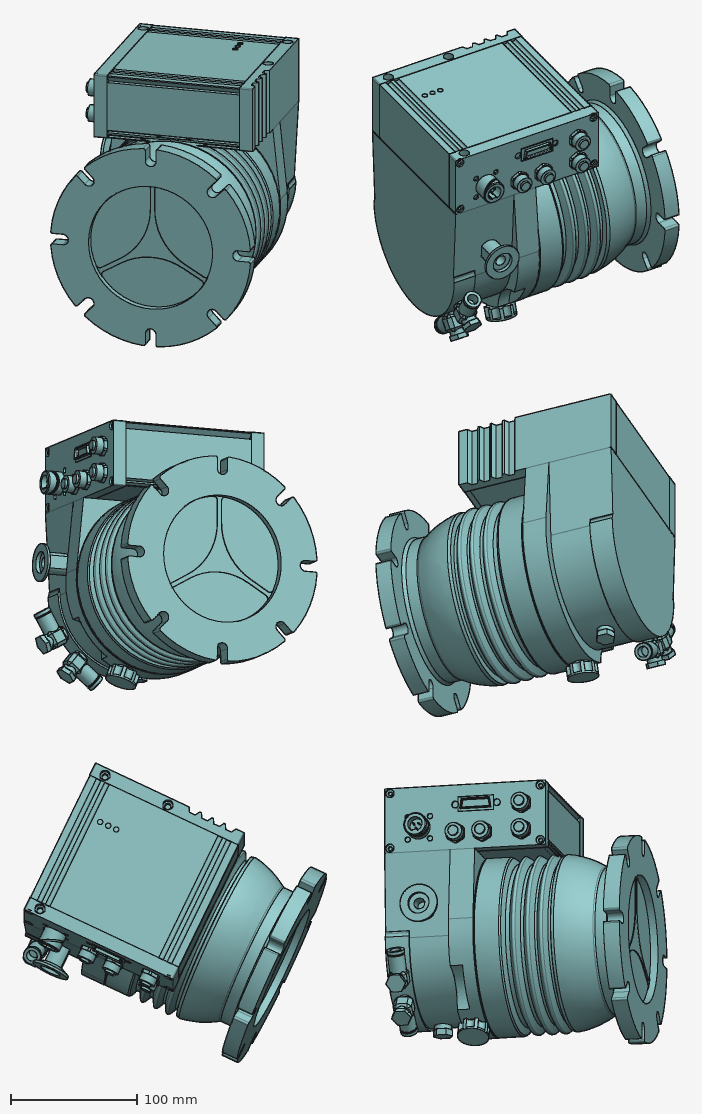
import cadquery as cq
import math

total_length = 195.0
flange_radius = 82.6
flange_thickness = 12.9
neck_radius = 58.6
fin_root_radius = 130.0 / 2
drum_radius = 71.7
collar_radius = 72.0
joint_radius = 71.0
rear_radius = 61.6
lip_radius = 63.3

drum_front = 100.7
drum_back = 120.7
collar_front = 121.7
collar_back = 141.6
lip_front = 175.7
fin_positions = (66.7, 77.5, 89.0)
fin_tip_half_width = 1.5
fin_shoulder_drop = 1.0
fin_tip_drop = 0.2
drum_edge = 1.5
drum_taper = 3.8
fin_root_half_width = 4.5

bell_small_end = (59.2, 26.8)
neck_back = 25.4
bell_bulge = (66.7, 41.5)
bell_large_end = (70.5, 56.5)
bell_back = 59.0
bell_edge_drop = 0.6
bell_back_slope = 0.8
neck_flare = 1.6
neck_flare_length = 3.0

slot_count = 8
slot_width = 8.7
slot_bottom_radius = 67.9
slot_lip_round = 1.6

bore_radius = 51.2
bore_depth = 5.5
pocket_depth = 0.6
spoke_half_width = 1.8
pocket_inner_round = 50.4
pocket_corner_round = 3.2

box_half_width = 65.5
box_bottom = 65.5
box_top = 118.0
box_front = 64.0
box_edge_round = 0.8
end_plate_width = 10.9
panel_inset = 0.5
profile_half_width = box_half_width - end_plate_width

fitting_y = 184.1
fitting_axis_radius = 71.5
fitting_angles = (210.5, 231.5)

power_socket_y = 167.2
power_socket_z = 84.8
data_port_y = 120.7
data_port_z = 102.1
cable_sockets = ((137.0, 78.5), (115.2, 78.5), (83.5, 78.5), (83.5, 100.1))


def radial_plane(angle, radius, y):
    """Plane facing away from the Y axis; local x is +Y, local y runs round the body."""
    direction = (math.cos(math.radians(angle)), 0, math.sin(math.radians(angle)))
    origin = (radius * direction[0], y, radius * direction[2])
    return cq.Workplane(cq.Plane(origin, (0, 1, 0), direction))


def wall(y, z, x=-box_half_width):
    """Plane facing -X; local x is -Y and local y is +Z."""
    return cq.Workplane(cq.Plane((x, y, z), (0, -1, 0), (-1, 0, 0)))


def cross_section(y):
    """Plane facing +Y; local x is -X and local y is +Z."""
    return cq.Workplane(cq.Plane((0, y, 0), (-1, 0, 0), (0, 1, 0)))


def hex_corners(across_flats):
    """Diameter across the corners of a hexagon of the given size across flats."""
    return across_flats / math.cos(math.radians(30))


def disc(radius, y_start, y_end):
    return cross_section(y_start).circle(radius).extrude(y_end - y_start)


def make_turned_body():
    """Flange, neck, bell, cooling fins and drum, turned about the Y axis."""
    profile = (
        cq.Workplane("XY")
        .moveTo(0, 0)
        .lineTo(flange_radius, 0)
        .lineTo(flange_radius, flange_thickness)
        .lineTo(neck_radius + neck_flare, flange_thickness)
        .lineTo(neck_radius, flange_thickness + neck_flare_length)
        .lineTo(neck_radius, neck_back)
        .lineTo(*bell_small_end)
        .threePointArc(bell_bulge, bell_large_end)
        .lineTo(bell_large_end[0] - bell_edge_drop, bell_back)
        .lineTo(fin_root_radius, bell_back + bell_back_slope)
    )
    fin_shoulder = drum_radius - fin_shoulder_drop
    fin_tip = drum_radius - fin_tip_drop
    for y in fin_positions:
        profile = (
            profile.lineTo(fin_root_radius, y - fin_root_half_width)
            .lineTo(fin_shoulder, y - fin_tip_half_width)
            .threePointArc((fin_tip, y), (fin_shoulder, y + fin_tip_half_width))
            .lineTo(fin_root_radius, y + fin_root_half_width)
        )
    return (
        profile.lineTo(fin_root_radius, drum_front - drum_taper)
        .lineTo(fin_shoulder, drum_front - drum_edge)
        .lineTo(drum_radius, drum_front)
        .lineTo(drum_radius, drum_back)
        .lineTo(joint_radius, drum_back)
        .lineTo(joint_radius, collar_front)
        .lineTo(0, collar_front)
        .close()
        .revolve(360, (0, 0), (0, 1))
    )


def make_saddle(radius, y_start, y_end):
    """Cylinder blended by tangent flats into the lower corners of the box."""
    corner_distance = math.hypot(box_half_width, box_bottom)
    tangent_angle = math.atan2(box_bottom, box_half_width) - math.acos(radius / corner_distance)
    tangent_x = radius * math.cos(tangent_angle)
    tangent_z = radius * math.sin(tangent_angle)
    return (
        cross_section(y_start)
        .moveTo(-box_half_width, box_bottom)
        .lineTo(-tangent_x, tangent_z)
        .threePointArc((0, -radius), (tangent_x, tangent_z))
        .lineTo(box_half_width, box_bottom)
        .close()
        .extrude(y_end - y_start)
    )


def make_rear_lip():
    """Thicker lower half of the rear end; its upper ends slope outwards and down."""
    shoulder_z = 2.0
    shoulder_x = rear_radius + 0.8
    slope_start = (shoulder_x, 0.5)
    slope_end = (lip_radius, -2.6)
    reach = lip_radius + 2
    lower_half = (
        cross_section(lip_front)
        .moveTo(0, shoulder_z)
        .lineTo(shoulder_x, shoulder_z)
        .lineTo(*slope_start)
        .lineTo(*slope_end)
        .lineTo(reach, slope_end[1])
        .lineTo(reach, -reach)
        .lineTo(0, -reach)
        .close()
        .extrude(total_length - lip_front)
    )
    lower_half = lower_half.union(lower_half.mirror("YZ"))
    return disc(lip_radius, lip_front, total_length).intersect(lower_half)


def make_collar_scoop():
    """Concave cut in the rear half of the collar's lower -X side."""
    scoop_front = 131.5
    scoop_radius = 29.2
    scoop_centre_x = -70.0
    scoop_centre_z = -58.2
    return (
        cross_section(scoop_front)
        .center(-scoop_centre_x, scoop_centre_z)
        .circle(scoop_radius)
        .extrude(collar_back - scoop_front)
    )


def make_flange_slots():
    """Round-bottomed bolt slots open to the flange rim, with rounded mouths."""
    round_centre = slot_bottom_radius + slot_width / 2
    rim = math.sqrt(flange_radius**2 - (slot_width / 2 + slot_lip_round) ** 2)
    mouth = rim - slot_lip_round
    half = slot_width / 2
    lip_mid = slot_lip_round * (1 - math.sqrt(0.5))
    slot = (
        cross_section(0)
        .moveTo(half, round_centre)
        .lineTo(half, mouth)
        .threePointArc((half + lip_mid, rim - lip_mid), (half + slot_lip_round, rim))
        .lineTo(half + slot_lip_round, flange_radius + 2)
        .lineTo(-half - slot_lip_round, flange_radius + 2)
        .lineTo(-half - slot_lip_round, rim)
        .threePointArc((-half - lip_mid, rim - lip_mid), (-half, mouth))
        .lineTo(-half, round_centre)
        .threePointArc((0, slot_bottom_radius), (half, round_centre))
        .close()
        .extrude(flange_thickness)
    )
    slots = slot
    for index in range(1, slot_count):
        slots = slots.union(slot.rotate((0, 0, 0), (0, 1, 0), index * 360 / slot_count))
    return slots


def make_inlet():
    """Round recess whose floor carries three rounded pockets, leaving a three-spoke star."""
    apex = -spoke_half_width / math.sin(math.radians(60))
    reach = 2 * bore_radius
    side_x = reach * math.cos(math.radians(30))
    side_z = apex - reach * math.sin(math.radians(30))
    wedge = (
        cross_section(bore_depth)
        .polyline([(0, apex), (side_x, side_z), (0, -2 * reach), (-side_x, side_z)])
        .close()
        .extrude(pocket_depth)
        .edges("|Y and >Z")
        .fillet(pocket_inner_round)
    )
    pocket = wedge.intersect(disc(bore_radius, bore_depth, bore_depth + pocket_depth))
    pocket = pocket.edges("|Y").edges("<X or >X").fillet(pocket_corner_round)
    inlet = disc(bore_radius, 0, bore_depth)
    for angle in (0, 120, 240):
        inlet = inlet.union(pocket.rotate((0, 0, 0), (0, 1, 0), angle))
    return inlet


def make_box():
    """Two end plates with a slightly smaller extruded middle part between them."""
    depth = total_length - box_front
    height = box_top - box_bottom
    centre = (0, box_front + depth / 2, (box_bottom + box_top) / 2)
    middle = cq.Workplane("XY").box(
        2 * profile_half_width, depth - 2 * panel_inset, height - 2 * panel_inset
    )
    plate = cq.Workplane("XY").box(end_plate_width, depth, height).edges("|X").fillet(box_edge_round)
    plate_offset = profile_half_width + end_plate_width / 2
    box = middle.union(plate.translate((-plate_offset, 0, 0))).union(plate.translate((plate_offset, 0, 0)))
    return box.translate(centre)


def make_box_grooves():
    """Lengthwise grooves of the middle part: round ones on top, triangular ones on the front."""
    top_groove_radius = 2.0
    top_groove_positions = (186.8, 179.5, 80.0, 72.5)
    front_groove_depth = 4.5
    front_groove_spans = ((112.0, 116.7), (70.1, 72.1), (66.5, 68.7))
    top_face = box_top - panel_inset
    front_face = box_front + panel_inset
    groove_length = 2 * profile_half_width
    end = cq.Workplane("YZ", origin=(-profile_half_width, 0, 0))

    centres = [(y, top_face) for y in top_groove_positions]
    grooves = end.pushPoints(centres).circle(top_groove_radius).extrude(groove_length)
    for floor_z, upper_z in front_groove_spans:
        corners = [(front_face, floor_z), (front_face + front_groove_depth, floor_z), (front_face, upper_z)]
        grooves = grooves.union(end.polyline(corners).close().extrude(groove_length))
    return grooves


def make_lid_holes():
    screw_x = 59.6
    screw_hole_diameter = 5.0
    screw_hole_depth = 12.0
    head_diameter = 8.0
    head_depth = 6.0
    light_x = 24.2
    light_diameter = 4.2
    light_depth = 0.8
    screws = [(-screw_x, 183.7), (screw_x, 183.7), (screw_x, 128.5)]
    lights = [(light_x, y) for y in (171.0, 164.0, 157.0)]
    lid = cq.Workplane("XY", origin=(0, 0, box_top))
    holes = lid.pushPoints(screws).circle(head_diameter / 2).extrude(-head_depth)
    holes = holes.union(lid.pushPoints(screws).circle(screw_hole_diameter / 2).extrude(-screw_hole_depth))
    return holes.union(lid.pushPoints(lights).circle(light_diameter / 2).extrude(-light_depth))


def make_plate_notches():
    """Notches through the full height of the +X end plate."""
    notch_depth = 3.8
    outer_half = 4.6
    inner_half = 2.5
    corners = [(0, -outer_half), (-notch_depth, -inner_half), (-notch_depth, inner_half), (0, outer_half)]
    notches = None
    for y in (108.0, 97.1, 86.6, 76.2):
        notch = (
            cq.Workplane("XY", origin=(box_half_width, y, box_bottom))
            .polyline(corners)
            .close()
            .extrude(box_top - box_bottom)
        )
        notches = notch if notches is None else notches.union(notch)
    return notches


def make_wall_screw_holes():
    head_diameter = 6.6
    head_depth = 1.6
    hole_diameter = 3.2
    hole_depth = 3.6
    points = [(y, z) for y in (190.8, 68.5) for z in (114.2, 69.5)]
    holes = None
    for y, z in points:
        head = wall(y, z).circle(head_diameter / 2).extrude(-head_depth)
        hole = head.union(wall(y, z).circle(hole_diameter / 2).extrude(-hole_depth))
        holes = hole if holes is None else holes.union(hole)
    return holes


def make_cable_socket(y, z):
    nut_flats = 14.5
    nut_round_diameter = 15.7
    nut_thickness = 2.8
    sleeve_diameter = 13.5
    sleeve_end = 8.9
    tip_diameter = 8.0
    tip_end = 10.9
    nut = wall(y, z).polygon(6, hex_corners(nut_flats)).extrude(nut_thickness)
    nut = nut.rotate((0, y, z), (1, y, z), 30)
    nut = nut.intersect(wall(y, z).circle(nut_round_diameter / 2).extrude(nut_thickness))
    sleeve = wall(y, z).circle(sleeve_diameter / 2).extrude(sleeve_end)
    tip = wall(y, z).circle(tip_diameter / 2).extrude(tip_end)
    return nut.union(sleeve).union(tip)


def make_power_socket():
    """Round socket with a slanted groove round the shell, an open cavity, three pins and a key."""
    outer_radius = 9.3
    length = 13.5
    groove_distance = 9.3
    groove_width = 1.5
    groove_depth = 0.8
    groove_slant = 23
    rim_chamfer = 0.8
    cavity_radius = 11.5 / 2
    cavity_depth = 8.0
    pin_circle = 2.5
    pin_diameter = 1.0
    pin_length = 5.0
    key_width = 4.0
    key_height = 2.5
    floor_x = -box_half_width - length + cavity_depth
    y = power_socket_y
    z = power_socket_z

    socket = wall(y, z).circle(outer_radius).extrude(length).faces("<X").chamfer(rim_chamfer)
    slab = cq.Workplane("XY").box(groove_width, 4 * outer_radius, 4 * outer_radius)
    slab = slab.rotate((0, 0, 0), (0, 0, 1), groove_slant)
    slab = slab.translate((-box_half_width - groove_distance, y, z))
    ring = wall(y, z).circle(outer_radius + 2).circle(outer_radius - groove_depth).extrude(length)
    socket = socket.cut(slab.intersect(ring))
    socket = socket.cut(wall(y, z, floor_x).circle(cavity_radius).extrude(cavity_depth))
    pins = wall(y, z, floor_x).polarArray(pin_circle, 30, 360, 3).circle(pin_diameter / 2).extrude(pin_length)
    key = wall(y, z - cavity_radius, floor_x).rect(key_width, key_height).extrude(cavity_depth)
    return socket.union(pins).union(key)


def make_power_socket_holes():
    hole_spacing = 18.1
    hole_diameter = 4.2
    hole_depth = 1.6
    centre = wall(power_socket_y, power_socket_z)
    corners = centre.rect(hole_spacing, hole_spacing, forConstruction=True).vertices()
    return corners.circle(hole_diameter / 2).extrude(-hole_depth)


def make_data_port():
    """Low rectangular plate carrying a hollow D-shaped rim."""
    plate_length = 28.8
    plate_height = 11.9
    plate_thickness = 0.8
    rim_top_half = 11.3
    rim_bottom_half = 12.5
    rim_half_height = 4.0
    rim_length = 3.2
    rim_wall = 0.8

    def d_shape(inset):
        half_height = rim_half_height - inset
        corners = [
            (-rim_bottom_half + inset, -half_height),
            (rim_bottom_half - inset, -half_height),
            (rim_top_half - inset, half_height),
            (-rim_top_half + inset, half_height),
        ]
        return wall(data_port_y, data_port_z).polyline(corners).close().extrude(rim_length)

    plate = wall(data_port_y, data_port_z).rect(plate_length, plate_height).extrude(plate_thickness)
    return plate.union(d_shape(0)).cut(d_shape(rim_wall))


def make_data_port_holes():
    hole_offset = 17.0
    hole_diameter = 5.5
    hole_depth = 1.6
    holes = wall(data_port_y, data_port_z).pushPoints([(-hole_offset, 0), (hole_offset, 0)])
    return holes.circle(hole_diameter / 2).extrude(-hole_depth)


def make_vent_port():
    """Clamp flange with a tapered back on a tube that has two flats."""
    y = 163.0
    z = 19.0
    rim_radius = 15.1
    face_x = -84.5
    rim_thickness = 2.0
    cone_length = 3.0
    root_x = -56.5
    tube_radius = 8.7
    tube_flats = 14.0
    recess_diameter = 17.1
    recess_depth = 3.2
    hole_diameter = 8.7
    hole_depth = 16.1
    rim_back_x = face_x + rim_thickness
    port = wall(y, z, rim_back_x).circle(rim_radius).extrude(rim_thickness)
    cone = (
        wall(y, z, rim_back_x + cone_length)
        .circle(tube_radius)
        .workplane(offset=cone_length)
        .circle(rim_radius)
        .loft()
    )
    tube_length = root_x - rim_back_x - cone_length
    tube = wall(y, z, root_x).circle(tube_radius).extrude(tube_length)
    tube = tube.intersect(wall(y, z, root_x).rect(tube_flats, 2 * tube_radius).extrude(tube_length))
    port = port.union(cone).union(tube)
    port = port.cut(wall(y, z, face_x).circle(recess_diameter / 2).extrude(-recess_depth))
    return port.cut(wall(y, z, face_x).circle(hole_diameter / 2).extrude(-hole_depth))


def make_fitting_block(angle):
    """Cube with chamfered edges, set square to the radius of the body."""
    size = 15.0
    edge_chamfer = 3.0
    base = radial_plane(angle, fitting_axis_radius - size / 2, fitting_y)
    return base.rect(size, size).extrude(size).edges().chamfer(edge_chamfer)


def make_hose_fitting(angle, tube_direction):
    """Block held by a radial hex bolt, with a hose tube running along the circumference."""
    tube_end = 23.8
    rim_length = 2.8
    neck_length = 1.0
    tube_radius = 13.5 / 2
    tube_neck_radius = 11.5 / 2
    rim_radius = 14.0 / 2
    tube_bore_diameter = 8.7
    tube_bore_depth = 10.0
    bolt_root_radius = rear_radius - 2
    bolt_radius = 6.0
    head_bottom = 81.5
    head_top = 85.5
    head_flats = 14.0

    bolt = radial_plane(angle, bolt_root_radius, fitting_y).circle(bolt_radius)
    bolt = bolt.extrude(head_bottom - bolt_root_radius)
    head = radial_plane(angle, head_bottom, fitting_y).polygon(6, hex_corners(head_flats))
    head = head.extrude(head_top - head_bottom)
    centre = radial_plane(angle, fitting_axis_radius, fitting_y).plane
    along = centre.yDir * tube_direction

    def tube_plane(distance):
        return cq.Workplane(cq.Plane(centre.origin + along * distance, centre.xDir, along))

    rim_start = tube_end - rim_length
    tube = tube_plane(0).circle(tube_radius).extrude(rim_start - neck_length)
    neck = tube_plane(0).circle(tube_neck_radius).extrude(rim_start)
    rim = tube_plane(rim_start).circle(rim_radius).extrude(rim_length)
    bore = tube_plane(tube_end - tube_bore_depth).circle(tube_bore_diameter / 2).extrude(tube_bore_depth)
    return bolt.union(head).union(make_fitting_block(angle)).union(tube).union(neck).union(rim).cut(bore)


def make_drain_plug():
    y = 162.8
    root_radius = 58.5
    head_start = 65.0
    head_end = 70.1
    stem_diameter = 14.0
    head_corners = 15.5
    stem = radial_plane(270, root_radius, y).circle(stem_diameter / 2).extrude(head_start - root_radius)
    head = radial_plane(270, head_start, y).polygon(6, head_corners).extrude(head_end - head_start)
    return stem.union(head)


def make_knob():
    angle = 250
    y = 131.5
    root_radius = 68.5
    grip_start = 74.1
    grip_end = 84.2
    knob_radius = 12.5
    scallop_count = 8
    scallop_radius = 3.5
    scallop_offset = 0.2
    plain_edge = 1.6
    stem_diameter = 13.7
    grip = radial_plane(angle, grip_start, y).circle(knob_radius).extrude(grip_end - grip_start)
    scallop_circle = knob_radius + scallop_offset
    scallops = radial_plane(angle, grip_start, y).polarArray(scallop_circle, 0, 360, scallop_count)
    scallops = scallops.circle(scallop_radius).extrude(grip_end - grip_start - plain_edge)
    stem = radial_plane(angle, root_radius, y).circle(stem_diameter / 2).extrude(grip_start - root_radius)
    return grip.cut(scallops).union(stem)


pump = make_turned_body().cut(make_flange_slots()).cut(make_inlet())
pump = pump.union(make_saddle(collar_radius, collar_front, collar_back).cut(make_collar_scoop()))
pump = pump.union(make_saddle(rear_radius, collar_back, total_length))
pump = pump.union(make_rear_lip())

controller = make_box().cut(make_box_grooves()).cut(make_lid_holes())
controller = controller.cut(make_plate_notches()).cut(make_wall_screw_holes())
controller = controller.cut(make_power_socket_holes()).cut(make_data_port_holes())
pump = pump.union(controller)

for socket_y, socket_z in cable_sockets:
    pump = pump.union(make_cable_socket(socket_y, socket_z))
pump = pump.union(make_power_socket()).union(make_data_port())
pump = pump.union(make_vent_port())
pump = pump.union(make_hose_fitting(fitting_angles[0], -1))
pump = pump.union(make_hose_fitting(fitting_angles[1], 1))
pump = pump.union(make_drain_plug()).union(make_knob())

result = pump